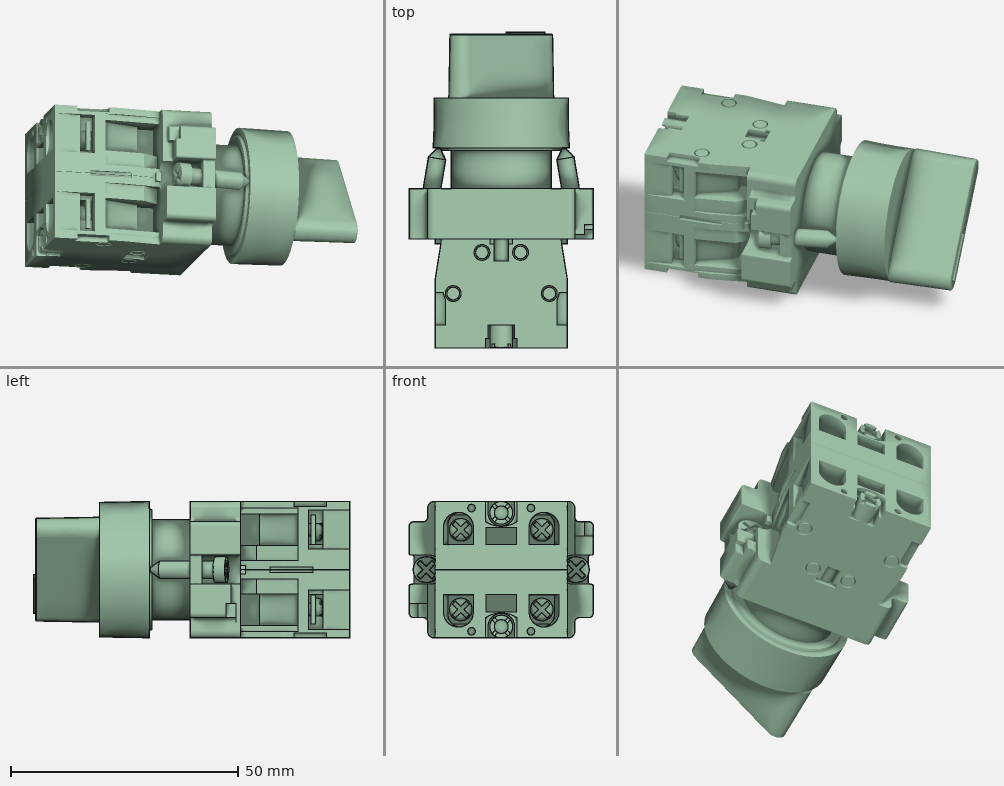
import cadquery as cq
import math


mark_height = 0.4
knob_length = 14.05
collar_length = 11.0
lip_length = 0.6
neck_length = 8.35
base_length = 11.1
block_length = 24.0

block_face_y = -34.75
base_rear_y = block_face_y + block_length
base_front_y = base_rear_y + base_length
lip_rear_y = base_front_y + neck_length
collar_rear_y = lip_rear_y + lip_length
collar_front_y = collar_rear_y + collar_length

half_height = 15.0
clearance = 3.5
cross_angle = 45.0

knob_end_radius = 2.7
knob_reach = 12.5
knob_draft = 1.0
knob_edge = 0.2
knob_angle = 45.0
mark_start = 2.15
mark_end = 12.85
mark_width = 1.4

collar_front_radius = 14.8
lip_front_radius = 13.4
lip_rear_radius = 13.15
neck_radius = 11.05

base_half_width = 16.2
base_corner = 1.45
overall_width = 40.5
ear_half_width = overall_width / 2
ear_top_z = 10.55
ear_bottom_z = 3.2
ear_corner = 1.05
ear_notch_corner = 0.4
web_corner = 0.4
ear_inner_corner = 0.9
web_half_width = 19.2
web_thickness = 2.65
pocket_end_x = 15.8
latch_split_x = 18.35
latch_split_z = 7.45
latch_low_depth = 2.15
latch_inner_depth = 1.05
latch_outer_depth = 3.2

clamp_tilt = 9.5
clamp_x = 15.2
clamp_shank_radius = 1.95
clamp_head_radius = 2.85
clamp_tip_radius = 0.4
clamp_tip_length = 2.15
clamp_shank_length = 6.75
clamp_head_start = 5.55
clamp_head_length = 2.6
clamp_slot_length = 4.7
clamp_slot_width = 1.05
clamp_slot_depth = 0.7

block_gap = 0.1
block_width = 29.1
block_half_width = block_width / 2
block_rear_half_width = 13.15
taper_end = 8.9
key_outer_x = 14.5
key_height = 1.0
key_length = 1.05
outside_x = block_half_width + clearance

recess_bottom_z = 2.0
ledge_z = 5.35
recess_roof_z = 12.2
recess_top_z = 13.55
recess_length = 12.6
skirt_rear_x = 12.8
skirt_front_x = 14.25
recess_floor_x = 6.5
step_length = 4.2
step_x = 8.9
slope_front_x = 12.3
ledge_rear_x = 10.7
ledge_corner_x = 13.3
ledge_corner_length = 3.6

terminal_width = 6.6
terminal_inner_x = 6.1
terminal_half_width = terminal_width / 2
terminal_x = terminal_inner_x + terminal_half_width
terminal_bottom_z = 5.5
terminal_spring_z = 9.3
terminal_depth = 9.1
cheek_length = 5.9
cheek_inset = 1.05
window_bottom_z = 4.5
window_top_z = 13.15
washer_width = terminal_width
washer_height = 6.45
washer_top_depth = 7.6
washer_thickness = 0.9
terminal_screw_x = 8.9
terminal_screw_z = 8.75
terminal_screw_radius = 2.5
terminal_screw_top_depth = 6.0
terminal_screw_rounding = 1.05
terminal_shank_radius = 1.4
terminal_slot_length = 4.3
terminal_slot_width = 1.0
terminal_slot_depth = 0.6

window_depth = 8.35
pin_hole_x = 6.5
pin_hole_z = 13.55
pin_hole_radius = 0.8
pin_hole_depth = 1.4
fixing_z = 12.5
fixing_radius = half_height - fixing_z
fixing_bore_radius = 2.9
fixing_bore_depth = 5.15
fixing_gap = 0.2
fixing_socket_radius = 1.5
fixing_socket_depth = 1.4
fixing_slot_width = 0.75
fixing_slot_depth = 0.75
mouth_half_width = 3.5
mouth_depth = 2.15
mouth_corner_z = 10.55
mouth_low_z = 9.5
ring_places = [(4.25, -13.7), (10.55, -22.7)]
ring_outer_radius = 1.75
ring_inner_radius = 1.4
ring_depth = 0.7
peg_radius = 1.6
peg_length = 4.8
peg_z = 12.5
peg_relief_half_width = 2.4
peg_relief_length = 1.05
peg_relief_depth = 0.8
edge_step_inner_x = 12.3
edge_step_depth = 1.1
edge_step_start_y = -22.45
edge_step_slant_x = 12.8
edge_step_slant_y = -24.05
edge_step_end_y = -29.6
groove_half_height = 0.59
groove_depth = 0.7
groove_start_y = -17.25
groove_end_y = -26.7


def box(x_range, y_range, z_range):
    """Axis-aligned box from three (low, high) ranges."""
    sizes = [high - low for low, high in (x_range, y_range, z_range)]
    return cq.Workplane("XY").box(*sizes, centered=False).translate((x_range[0], y_range[0], z_range[0]))


def facing(y, x=0.0, z=0.0):
    """Plane at height y looking along -Y, so that extrusions run toward -Y."""
    return cq.Workplane("XZ", origin=(x, y, z))


def plan(points, low, high):
    """Outline in X and Y, filled from z = low to z = high."""
    return cq.Workplane("XY", origin=(0, 0, low)).polyline(points).close().extrude(high - low)


def cross_slot(y, x, z, length, width, depth):
    """Diagonal cross, sunk into a screw head whose outer face is at y and faces -Y."""
    cross = facing(y + depth, x, z).rect(length, width).extrude(2 * depth)
    cross = cross.union(facing(y + depth, x, z).rect(width, length).extrude(2 * depth))
    return cross.rotate((x, y, z), (x, y + 0.7, z), cross_angle)


def both_sides(left):
    """A feature on the -X side together with its mirror image."""
    return left.union(left.mirror("YZ"))


def upright_edges(x, z):
    """Selector for the four edges of the base that run along Y at (+-x, +-z)."""
    margin = 0.01
    selector = None
    for edge_x in (-x, x):
        for edge_z in (-z, z):
            low = (edge_x - margin, base_rear_y, edge_z - margin)
            high = (edge_x + margin, base_front_y, edge_z + margin)
            corner = cq.selectors.BoxSelector(low, high)
            selector = corner if selector is None else selector + corner
    return selector


def make_knob():
    grip = (
        facing(collar_front_y)
        .slot2D(2 * (knob_reach + knob_end_radius), 2 * knob_end_radius)
        .extrude(-knob_length, taper=knob_draft)
        .faces(">Y")
        .chamfer(knob_edge)
    )
    mark = (
        facing(collar_front_y + knob_length)
        .center((mark_start + mark_end) / 2, 0)
        .rect(mark_end - mark_start, mark_width)
        .extrude(-mark_height)
    )
    return grip.union(mark).rotate((0, 0, 0), (0, 1, 0), knob_angle)


def make_head():
    profile = [
        (collar_front_y, 0),
        (collar_front_y, collar_front_radius),
        (collar_rear_y, half_height),
        (collar_rear_y, lip_front_radius),
        (lip_rear_y, lip_rear_radius),
        (lip_rear_y, neck_radius),
        (base_front_y, neck_radius),
        (base_front_y, 0),
    ]
    return cq.Workplane("YZ").polyline(profile).close().revolve(360, (0, 0, 0), (1, 0, 0))


def ear_blank():
    ears = facing(base_front_y).rect(2 * ear_half_width, 2 * ear_top_z).extrude(base_length)
    ears = ears.edges("|Y").fillet(ear_corner)
    notch = facing(base_front_y).rect(2 * clearance, 2 * ear_bottom_z).extrude(base_length)
    for side in (-1, 1):
        ears = ears.cut(notch.translate((side * (web_half_width + clearance), 0, 0)))
    ears = ears.edges(upright_edges(ear_half_width, ear_bottom_z)).fillet(ear_notch_corner)
    return ears.edges(upright_edges(web_half_width, ear_bottom_z)).fillet(web_corner)


def screw_pocket():
    """Round-ended pocket around the head of the -X clamping screw."""
    depth = base_length - web_thickness
    y = base_front_y - web_thickness
    pocket = facing(y, -pocket_end_x).circle(ear_bottom_z).extrude(depth)
    return pocket.union(
        box((-pocket_end_x - 2 * clearance, -pocket_end_x), (base_rear_y, y), (-ear_bottom_z, ear_bottom_z))
    )


def latch_cut():
    """Stepped end of the lower -X ear."""
    outer = -ear_half_width - clearance
    low_z = (-latch_split_z, -ear_bottom_z)
    low = box((outer, -base_half_width), (base_rear_y, base_rear_y + latch_low_depth), low_z)
    corner_z = (-ear_top_z - ear_inner_corner, -latch_split_z)
    inner = box((-latch_split_x, -base_half_width), (base_rear_y, base_rear_y + latch_inner_depth), corner_z)
    tip = box((outer, -latch_split_x), (base_rear_y, base_rear_y + latch_outer_depth), corner_z)
    return low.union(inner).union(tip)


def clamp_screw():
    """The -X clamping screw: pointed end toward the collar, cross-slotted head toward -Y."""
    head_end = -clamp_head_start - clamp_head_length
    profile = [
        (0, clamp_shank_length + clamp_tip_length),
        (clamp_tip_radius, clamp_shank_length + clamp_tip_length),
        (clamp_shank_radius, clamp_shank_length),
        (clamp_shank_radius, -clamp_head_start),
        (clamp_head_radius, -clamp_head_start),
        (clamp_head_radius, head_end),
        (0, head_end),
    ]
    screw = cq.Workplane("XY").polyline(profile).close().revolve(360, (0, 0, 0), (0, 1, 0))
    screw = screw.cut(cross_slot(head_end, 0, 0, clamp_slot_length, clamp_slot_width, clamp_slot_depth))
    return screw.rotate((0, 0, 0), (0, 0, 1), -clamp_tilt).translate((-clamp_x, base_front_y, 0))


def make_base():
    body = facing(base_front_y).rect(2 * base_half_width, 2 * half_height).extrude(base_length)
    base = body.edges("|Y").fillet(base_corner).union(ear_blank())
    base = base.edges(upright_edges(base_half_width, ear_top_z)).fillet(ear_inner_corner)
    latch = latch_cut()
    base = base.cut(latch).cut(latch.rotate((0, 0, 0), (0, 1, 0), 180))
    base = base.cut(both_sides(screw_pocket()))
    return base.union(both_sides(clamp_screw()))


def block_blank():
    left = [
        (-block_rear_half_width, base_rear_y),
        (-block_half_width, base_rear_y - taper_end),
        (-block_half_width, block_face_y),
    ]
    right = [(-x, y) for x, y in reversed(left)]
    return plan(left + right, block_gap / 2, half_height)


def side_recess():
    """Open recess beside the base, with a ledge along its lower edge."""
    front_y = base_rear_y - recess_length
    step_y = base_rear_y - step_length
    corner_y = base_rear_y - ledge_corner_length
    skirt = [
        (-skirt_rear_x, base_rear_y),
        (-skirt_front_x, front_y),
        (-outside_x, front_y),
        (-outside_x, base_rear_y),
    ]
    cavity = [
        (-recess_floor_x, base_rear_y),
        (-recess_floor_x, step_y),
        (-step_x, step_y),
        (-slope_front_x, front_y),
        (-outside_x, front_y),
        (-outside_x, base_rear_y),
    ]
    ledge = [
        (-ledge_rear_x, base_rear_y),
        (-ledge_corner_x, corner_y),
        (-outside_x, corner_y),
        (-outside_x, base_rear_y),
    ]
    recess = plan(skirt, recess_bottom_z, recess_top_z)
    recess = recess.union(plan(cavity, ledge_z, recess_roof_z))
    return recess.union(plan(ledge, recess_bottom_z, ledge_z))


def terminal_outline(y, inset):
    """Arched terminal section at height y, with its outer flank moved in by inset."""
    flank = inset - terminal_half_width
    diagonal = math.sqrt(0.5)
    rise = terminal_half_width
    return (
        facing(y, -terminal_x)
        .moveTo(flank, terminal_bottom_z)
        .lineTo(terminal_half_width, terminal_bottom_z)
        .lineTo(terminal_half_width, terminal_spring_z)
        .threePointArc((rise * diagonal, terminal_spring_z + rise * diagonal), (0, terminal_spring_z + rise))
        .threePointArc((flank * diagonal, terminal_spring_z + rise * diagonal), (flank, terminal_spring_z))
        .close()
    )


def terminal_cut():
    """Arched terminal hole in the block face, with its side window and sloping cheek."""
    cheek_y = block_face_y + cheek_length
    floor_y = block_face_y + terminal_depth
    mouth_wire = terminal_outline(block_face_y, 0).val()
    cheek_wire = terminal_outline(cheek_y, cheek_inset).val()
    hole = cq.Workplane(cq.Solid.makeLoft([mouth_wire, cheek_wire], True))
    hole = hole.union(terminal_outline(floor_y, cheek_inset).extrude(terminal_depth - cheek_length))
    outer_slope = [
        (-block_half_width, block_face_y),
        (-block_half_width + cheek_inset, cheek_y),
        (-block_half_width, cheek_y),
    ]
    window_inner_x = -terminal_x - terminal_half_width + cheek_inset
    window = box((-outside_x, window_inner_x), (cheek_y, floor_y), (window_bottom_z, window_top_z))
    return hole.union(window).union(plan(outer_slope, window_bottom_z, window_top_z))


def terminal_screw():
    """Washer plate and round-headed screw at the bottom of a terminal hole."""
    washer_y = block_face_y + washer_top_depth + washer_thickness
    washer = facing(washer_y, -terminal_x, terminal_screw_z).rect(washer_width, washer_height)
    washer = washer.extrude(washer_thickness)
    head_y = block_face_y + terminal_screw_top_depth
    floor_y = block_face_y + terminal_depth
    head_length = washer_top_depth - terminal_screw_top_depth
    screw = facing(head_y + head_length, -terminal_screw_x, terminal_screw_z)
    screw = screw.circle(terminal_screw_radius).extrude(head_length)
    screw = screw.faces("<Y").edges().fillet(terminal_screw_rounding)
    shank = facing(floor_y, -terminal_screw_x, terminal_screw_z).circle(terminal_shank_radius)
    shank = shank.extrude(terminal_depth - washer_top_depth)
    slot = cross_slot(
        head_y,
        -terminal_screw_x,
        terminal_screw_z,
        terminal_slot_length,
        terminal_slot_width,
        terminal_slot_depth,
    )
    return washer.union(screw).union(shank).cut(slot)


def fixing_cut():
    """Bore and wider mouth around the fixing screw, open at the top of the block."""
    bore_y = block_face_y + fixing_bore_depth
    bore = facing(bore_y, 0, fixing_z).circle(fixing_bore_radius).extrude(fixing_bore_depth)
    bore = bore.union(
        box(
            (-fixing_bore_radius, fixing_bore_radius),
            (block_face_y, bore_y),
            (fixing_z, half_height + clearance),
        )
    )
    top_z = half_height + clearance
    mouth = (
        facing(block_face_y + mouth_depth)
        .moveTo(-mouth_half_width, top_z)
        .lineTo(-mouth_half_width, mouth_corner_z)
        .threePointArc((0, mouth_low_z), (mouth_half_width, mouth_corner_z))
        .lineTo(mouth_half_width, top_z)
        .close()
        .extrude(mouth_depth)
    )
    return bore.union(mouth)


def fixing_screw():
    end_y = block_face_y + fixing_gap
    length = fixing_bore_depth - fixing_gap
    screw = facing(end_y + length, 0, fixing_z).circle(fixing_radius).extrude(length)
    slot = cross_slot(end_y, 0, fixing_z, 2 * fixing_bore_radius, fixing_slot_width, fixing_slot_depth)
    socket = facing(end_y + fixing_socket_depth, 0, fixing_z)
    socket = socket.circle(fixing_socket_radius).extrude(fixing_socket_depth)
    return screw.cut(slot).cut(socket)


def face_holes():
    """Plain rectangular window and the two pin holes in the block face."""
    window = box(
        (-terminal_half_width, terminal_half_width),
        (block_face_y, block_face_y + window_depth),
        (terminal_bottom_z, terminal_spring_z),
    )
    pins = facing(block_face_y + pin_hole_depth, 0, pin_hole_z)
    pins = pins.pushPoints([(-pin_hole_x, 0), (pin_hole_x, 0)])
    pins = pins.circle(pin_hole_radius).extrude(pin_hole_depth)
    return window.union(pins)


def rivet_rings():
    centers = [(side * x, y) for x, y in ring_places for side in (-1, 1)]
    rings = cq.Workplane("XY", origin=(0, 0, half_height)).pushPoints(centers)
    return rings.circle(ring_outer_radius).circle(ring_inner_radius).extrude(-ring_depth)


def peg_slot():
    """Slot beside the base that uncovers a round peg lying along Y."""
    end_y = base_rear_y - peg_length
    slot = box((-peg_radius, peg_radius), (end_y, base_rear_y), (peg_z, half_height))
    slot = slot.cut(facing(base_rear_y, 0, peg_z).circle(peg_radius).extrude(peg_length))
    relief = box(
        (-peg_relief_half_width, peg_relief_half_width),
        (base_rear_y - peg_relief_length, base_rear_y),
        (half_height - peg_relief_depth, half_height),
    )
    return slot.union(relief)


def edge_step():
    """Shallow step in the top edge above a terminal."""
    points = [
        (-outside_x, edge_step_start_y),
        (-edge_step_slant_x, edge_step_start_y),
        (-edge_step_inner_x, edge_step_slant_y),
        (-edge_step_inner_x, edge_step_end_y),
        (-outside_x, edge_step_end_y),
    ]
    return plan(points, half_height - edge_step_depth, half_height)


def side_groove():
    """Half of the shallow groove along the joint between the two blocks."""
    return box(
        (-block_half_width, -block_half_width + groove_depth),
        (groove_end_y, groove_start_y),
        (0, groove_half_height),
    )


def joint_key():
    """Half of a small key in the corner between the tapered side and the base."""
    return box(
        (-key_outer_x, -block_rear_half_width),
        (base_rear_y - key_length, base_rear_y),
        (0, key_height),
    )


def make_upper_block():
    block = block_blank()
    for left_cut in (side_recess(), terminal_cut(), edge_step(), side_groove()):
        block = block.cut(both_sides(left_cut))
    for center_cut in (fixing_cut(), face_holes(), rivet_rings(), peg_slot()):
        block = block.cut(center_cut)
    for left_part in (terminal_screw(), joint_key()):
        block = block.union(both_sides(left_part))
    return block.union(fixing_screw())


knob = make_knob()
head = make_head()
base = make_base()
upper_block = make_upper_block()
lower_block = upper_block.mirror("XY")

result = cq.Compound.makeCompound([knob.val(), head.val(), base.val(), upper_block.val(), lower_block.val()])